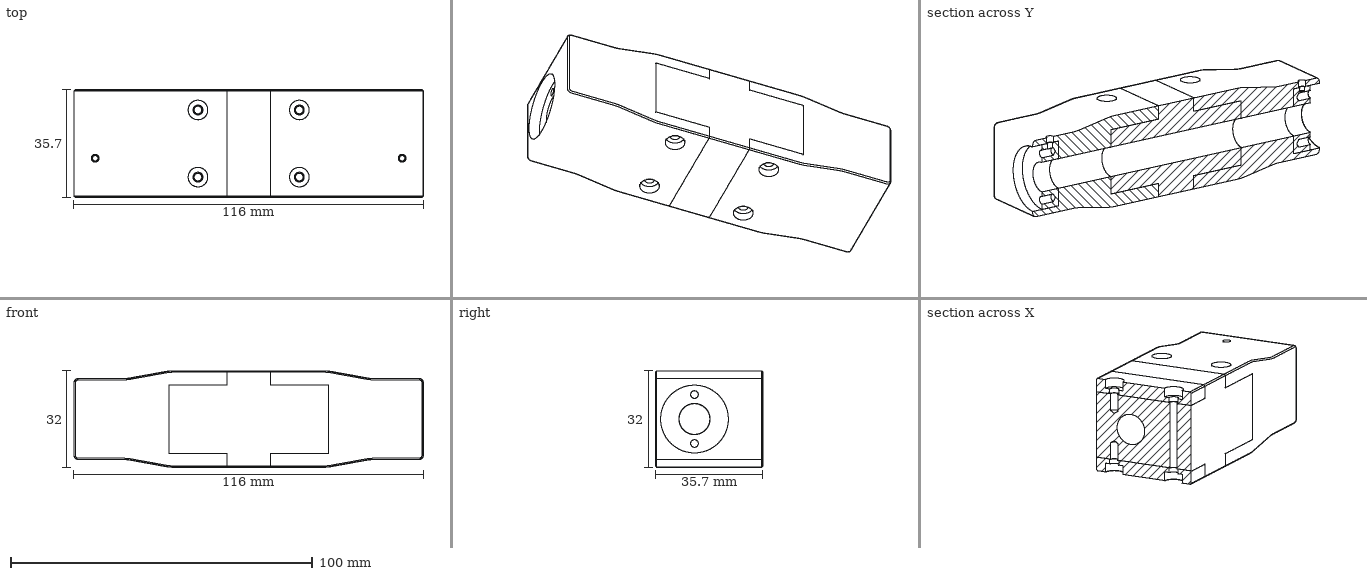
import cadquery as cq
import math

length = 116.0
width = 35.7
height = 32.0
end_height = 26.9
ramp_inner_x = 26.2
ramp_outer_x = 40.4
ramp_blend_radius = 13.0
end_corner_radius = 1.5
side_chamfer = 0.5

core_length = 52.9
core_height = 22.7
band_length = 14.4

bore_y = -4.9
bore_radius = 5.1
plug_radius = 11.3
plug_recess = 3.7
set_hole_inset = 7.1
plug_length = 2 * (set_hole_inset - plug_recess)

face_hole_radius = 1.3
face_hole_offset = 8.1
face_hole_depth = 4.6
set_hole_radius = 1.3
set_seat_radius = 0.9
set_seat_floor = {-1: face_hole_offset, 1: 9.9}

bolt_x = 16.8
bolt_y = 11.1
counterbore_radius = 3.2
counterbore_depth = 3.0
clearance_radius = 1.6
thread_radius = 1.3
blind_thread_depth = 5.8

drill_tip_half_angle = math.radians(59)

half_length = length / 2
half_height = height / 2
SIDES = (-1, 1)


def cylinder(start, direction, radius, depth):
    return cq.Workplane(obj=cq.Solid.makeCylinder(radius, depth, cq.Vector(*start), cq.Vector(*direction)))


def drilled_hole(start, direction, radius, depth):
    """Blind hole with a conical drill tip beyond its full-diameter depth."""
    tip_start = cq.Vector(*start) + cq.Vector(*direction) * depth
    tip_length = radius / math.tan(drill_tip_half_angle)
    tip = cq.Solid.makeCone(radius, 0, tip_length, tip_start, cq.Vector(*direction))
    return cylinder(start, direction, radius, depth).union(cq.Workplane(obj=tip))


def make_envelope():
    """Barrel-shaped outline: raised middle, ramps down to lower ends."""
    quarter = [
        (ramp_inner_x, half_height),
        (ramp_outer_x, end_height / 2),
        (half_length, end_height / 2),
    ]
    upper = [(-x, z) for x, z in reversed(quarter)] + quarter
    lower = [(x, -z) for x, z in reversed(upper)]
    body = cq.Workplane("XZ").polyline(upper + lower).close().extrude(width / 2, both=True)
    ramp_reach = (half_length + ramp_outer_x) / 2
    ramp_zone = cq.selectors.BoxSelector((-ramp_reach, -width, -height), (ramp_reach, width, height))
    body = body.edges("|Y").edges(ramp_zone).fillet(ramp_blend_radius)
    body = body.edges("|Y").edges("<X or >X").fillet(end_corner_radius)
    return body.faces("<Y or >Y").chamfer(side_chamfer)


def make_plus():
    block = cq.Workplane().box(core_length, width, core_height)
    return block.union(cq.Workplane().box(band_length, width, height))


def make_core(envelope):
    core = envelope.intersect(make_plus())
    core = core.cut(cylinder((-half_length, bore_y, 0), (1, 0, 0), bore_radius, length))
    for side in SIDES:
        core = core.cut(cylinder((side * bolt_x, bolt_y, -half_height), (0, 0, 1), thread_radius, height))
        for face in SIDES:
            start = (side * bolt_x, -bolt_y, face * core_height / 2)
            core = core.cut(drilled_hole(start, (0, 0, -face), thread_radius, blind_thread_depth))
    return core


def bolt_hole(x, y, face):
    """Counterbored clearance hole through one flange; face is +1 for top, -1 for bottom."""
    start = (x, y, face * half_height)
    inward = (0, 0, -face)
    flange = (height - core_height) / 2
    hole = cylinder(start, inward, clearance_radius, flange)
    return hole.union(cylinder(start, inward, counterbore_radius, counterbore_depth))


def set_hole(side, radius, floor):
    """Vertical hole from the top face of the end down to the given floor height."""
    start = (side * (half_length - set_hole_inset), bore_y, end_height / 2)
    return cylinder(start, (0, 0, -1), radius, end_height / 2 - floor)


def make_housing(envelope, side):
    end_half = cq.Workplane().box(half_length, width, height).translate((side * half_length / 2, 0, 0))
    housing = envelope.intersect(end_half).cut(make_plus())
    end_face = (side * half_length, bore_y, 0)
    inward = (-side, 0, 0)
    housing = housing.cut(cylinder(end_face, inward, bore_radius, half_length))
    housing = housing.cut(cylinder(end_face, inward, plug_radius, plug_recess + plug_length))
    for y in (-bolt_y, bolt_y):
        for face in SIDES:
            housing = housing.cut(bolt_hole(side * bolt_x, y, face))
    return housing.cut(set_hole(side, set_hole_radius, face_hole_offset))


def make_plug(side):
    """Bored disc sunk below the end face, with two blind face holes."""
    face_x = side * (half_length - plug_recess)
    inward = (-side, 0, 0)
    plug = cylinder((face_x, bore_y, 0), inward, plug_radius, plug_length)
    plug = plug.cut(cylinder((face_x, bore_y, 0), inward, bore_radius, plug_length))
    for z in (-face_hole_offset, face_hole_offset):
        start = (face_x, bore_y, z)
        plug = plug.cut(drilled_hole(start, inward, face_hole_radius, face_hole_depth))
    return plug.cut(set_hole(side, set_seat_radius, set_seat_floor[side]))


envelope = make_envelope()
core = make_core(envelope)
housings = [make_housing(envelope, side) for side in SIDES]
plugs = [make_plug(side) for side in SIDES]

result = cq.Compound.makeCompound(
    [core.val(), *[housing.val() for housing in housings], *[plug.val() for plug in plugs]]
)